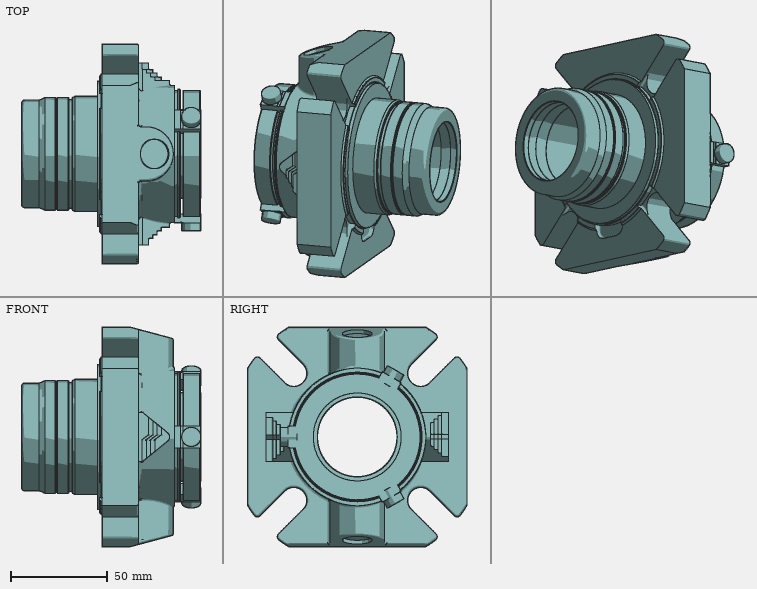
import cadquery as cq
import math


overall_length = 93.24
flange_side = 114.3

seal_disc_start = 39.4
gasket_ring_start = 40.6
flange_front = 41.85
flange_back = 60.85
body_end = 79.6
snap_ring_start = 81.0
snap_ring_end = 82.5
collar_start = 83.8
collar_end = 93.0

nose_diameter = 56.11
nose_step_start = 9.1
nose_step_diameter = 57.28
nose_ramp_start = 10.7
nose_land_start = 12.3
nose_land_diameter = 58.85
nose_groove_diameter = 56.77
nose_groove_starts = (17.85, 24.55)
nose_groove_ends = (18.4, 26.2)
nose_land_edge = 0.4
rear_barrel_diameter = 60.05
rear_barrel_chamfer = 1.6
nose_round = 1.7

seal_disc_radius = 37.8
gasket_radius = 40.65
gasket_inner_radius = 38.4
gasket_base_round = 0.9
gasket_gap_depth = 0.6

corner_circle_radius = 67.3
slot_width = 13.4
slot_hole_distance = 46.65
slot_corner_round = 2.0
flange_back_round = 1.0
slope_start = 56.3
slope_angle = 15.0
recess_depth = 2.0
recess_floor_round = 0.85
slot_recess_inner = 30.0
drain_width = 19.9
drain_bottom = 45.0
drain_corner = 5.0

body_front_radius = 35.25
body_back_radius = 35.7
body_base_round = 1.7
neck_radius = 33.0
snap_ring_radius = 33.7
snap_ring_chamfer = 0.4

collar_radius = 66.17 / 2
collar_edge = 0.4
sleeve_radius = 46.25 / 2
sleeve_end_radius = 45.72 / 2
bore_entry_diameter = 41.63
bore_entry_end = 3.4
bore_entry_chamfer = 0.3
bore_land_diameter = 41.27
bore_land_end = 8.6
bore_mid_diameter = 41.38
bore_mid_end = 16.0

lug_radius = 14.1
lug_center = 64.8
lug_base_flare = 1.3
lug_edge_round = 1.0
lug_inner_height = 24.0
lug_core_height = 46.0
lug_base_round = 1.2
port_diameter = 15.34
port_center = 69.2
port_depth = 2.0

rib_inner = 28.0
rib_step_heights = (38.2, 40.0, 42.1, 43.9, 47.4)
rib_step_ends = (78.0, 72.65, 70.5, 68.25, 66.05)
rib_step_shift = 3.4
rib_split_upper = 1.1
rib_split_lower = -1.4
rib_half_height = 12.75
rib_shoulder = 62.9
rib_side_angle = 39.0
rib_tip_round = 2.9
rib_base_round = 0.9
rib_step_round = 0.5

pick_margin = 0.1

clip_count = 3
clip_width = 11.35
clip_inner = 31.2
clip_outer = 35.9
clip_groove_depth = 0.3
screw_diameter = 10.0
screw_head_top = 40.0
screw_center = overall_length - screw_diameter / 2
screw_edge_round = 0.4


def ring(start, end, outer_radius):
    """Solid disc around the shaft axis between two stations."""
    return cq.Workplane("YZ").workplane(offset=start).circle(outer_radius).extrude(end - start)


def make_nose():
    land = nose_land_diameter / 2
    groove = nose_groove_diameter / 2
    barrel = rear_barrel_diameter / 2
    profile = (
        cq.Workplane("XY")
        .moveTo(0, 0)
        .lineTo(0, nose_diameter / 2 - nose_round)
        .radiusArc((nose_round, nose_diameter / 2), nose_round)
        .lineTo(nose_step_start, nose_diameter / 2)
        .lineTo(nose_ramp_start, nose_step_diameter / 2)
        .lineTo(nose_land_start, land)
    )
    for groove_start, groove_end in zip(nose_groove_starts, nose_groove_ends):
        profile = (
            profile.lineTo(groove_start - nose_land_edge, land)
            .lineTo(groove_start, land - nose_land_edge)
            .lineTo(groove_start, groove)
            .lineTo(groove_end, groove)
            .lineTo(groove_end, land - nose_land_edge)
            .lineTo(groove_end + nose_land_edge, land)
        )
    profile = (
        profile.lineTo(nose_groove_ends[-1] + rear_barrel_chamfer, barrel)
        .lineTo(flange_front, barrel)
        .lineTo(flange_front, 0)
        .close()
    )
    return profile.revolve(360, (0, 0, 0), (1, 0, 0))


def make_flange():
    thickness = flange_back - flange_front
    face = cq.Workplane("YZ").workplane(offset=flange_front)
    plate = face.rect(flange_side, flange_side).extrude(thickness)
    plate = plate.intersect(face.circle(corner_circle_radius).extrude(thickness))
    slot_end = corner_circle_radius + slot_width
    slot_length = slot_end - slot_hole_distance
    slot = (
        face.center(slot_hole_distance + slot_length / 2, 0)
        .rect(slot_length, slot_width)
        .extrude(thickness)
        .union(face.center(slot_hole_distance, 0).circle(slot_width / 2).extrude(thickness))
    )
    for quarter in range(4):
        plate = plate.cut(slot.rotate((0, 0, 0), (1, 0, 0), 45 + 90 * quarter))
    slot_mouth = math.sqrt(corner_circle_radius**2 - (slot_width / 2) ** 2)
    for quarter in range(4):
        angle = math.radians(45 + 90 * quarter)
        for side in (-slot_width / 2, slot_width / 2):
            mouth = (
                (flange_front + flange_back) / 2,
                slot_mouth * math.cos(angle) - side * math.sin(angle),
                slot_mouth * math.sin(angle) + side * math.cos(angle),
            )
            plate = plate.edges(cq.selectors.NearestToPointSelector(mouth)).fillet(slot_corner_round)
    for side in (1, -1):
        plate = plate.cut(slope_cutter(side))
    return plate.faces(">X").edges().fillet(flange_back_round)


def slope_cutter(side):
    """Everything beyond the sloping top (side = 1) or bottom (side = -1) plane."""
    run = overall_length - slope_start
    drop = run * math.tan(math.radians(slope_angle))
    height = flange_side / 2
    return (
        cq.Workplane("XZ")
        .polyline([
            (slope_start, side * height),
            (slope_start + run, side * (height - drop)),
            (slope_start + run, side * flange_side),
            (slope_start, side * flange_side),
        ])
        .close()
        .extrude(flange_side, both=True)
    )


def make_front_recesses():
    """Slot recesses and drain notch sunk into the flange front, with rounded floors."""
    drain_length = drain_bottom - slot_recess_inner
    recesses = (
        front_pocket(drain_length, drain_width)
        .edges("|X and >Y")
        .fillet(drain_corner)
        .faces(">X")
        .edges()
        .fillet(recess_floor_round)
        .rotate((0, 0, 0), (1, 0, 0), -90)
    )
    slot_recess = (
        front_pocket(slot_hole_distance - slot_recess_inner, slot_width)
        .faces(">X")
        .edges("|Y")
        .fillet(recess_floor_round)
    )
    for quarter in range(4):
        recesses = recesses.union(slot_recess.rotate((0, 0, 0), (1, 0, 0), 45 + 90 * quarter))
    return recesses


def front_pocket(length, width):
    """Block sunk into the flange front, running outward along +Y."""
    return (
        cq.Workplane("YZ")
        .workplane(offset=flange_front)
        .center(slot_recess_inner + length / 2, 0)
        .rect(length, width)
        .extrude(recess_depth)
    )


def make_gasket():
    """Seal disc inside a gasket ring that is broken by the corner slots and the drain notch."""
    round_start = flange_front - gasket_base_round
    gasket = (
        cq.Workplane("XY")
        .moveTo(gasket_ring_start, gasket_inner_radius)
        .lineTo(gasket_ring_start, gasket_radius)
        .lineTo(round_start, gasket_radius)
        .radiusArc((flange_front, gasket_radius + gasket_base_round), gasket_base_round)
        .lineTo(flange_front, gasket_inner_radius)
        .close()
        .revolve(360, (0, 0, 0), (1, 0, 0))
    )
    reach = flange_side / 2
    face = cq.Workplane("YZ").workplane(offset=gasket_ring_start)
    gap = face.center(reach / 2, 0).rect(reach, slot_width).extrude(recess_depth)
    for quarter in range(4):
        gasket = gasket.cut(gap.rotate((0, 0, 0), (1, 0, 0), 45 + 90 * quarter))
    gasket = gasket.cut(face.center(0, -reach / 2).rect(drain_width, reach).extrude(recess_depth))
    recess_floor = flange_front + recess_depth
    disc = ring(seal_disc_start, recess_floor, seal_disc_radius)
    shoulder = ring(gasket_ring_start + gasket_gap_depth, recess_floor, gasket_inner_radius)
    return gasket.union(disc).union(shoulder)


def make_body():
    """Flared body with its lugs and ribs blended in, then the neck and snap ring."""
    lug_end = lug_center + lug_radius + lug_base_round
    flare = (body_back_radius - body_front_radius) / (body_end - flange_back)
    cone_end = lug_end + lug_base_round
    profile = (
        cq.Workplane("XY")
        .moveTo(slope_start, 0)
        .lineTo(slope_start, body_front_radius - flare * (flange_back - slope_start))
        .lineTo(cone_end, body_front_radius + flare * (cone_end - flange_back))
        .lineTo(cone_end, 0)
        .close()
    )
    body = profile.revolve(360, (0, 0, 0), (1, 0, 0))
    for half_turn in (0, 180):
        body = body.union(make_lug_core().rotate((0, 0, 0), (1, 0, 0), half_turn))
        body = body.union(make_rib().rotate((0, 0, 0), (1, 0, 0), half_turn))
    for side in (1, -1):
        lug_foot = cq.selectors.BoxSelector(
            (slope_start, -lug_radius - pick_margin, side * lug_inner_height),
            (lug_end, lug_radius + pick_margin, side * body_back_radius),
        )
        body = body.edges(lug_foot).fillet(lug_base_round)
    for side in (1, -1):
        rib_foot = cq.selectors.BoxSelector(
            (slope_start, side * rib_inner, -rib_half_height - pick_margin),
            (rib_step_ends[0] + pick_margin, side * body_back_radius, rib_half_height + pick_margin),
        )
        body = body.edges(rib_foot).fillet(rib_base_round)
    body = body.intersect(ring(slope_start, body_end, flange_side))
    return body.union(make_base_round()).union(make_neck())


def make_base_round():
    """Concave round between the flange back and the body."""
    base_end = flange_back + body_base_round
    flare = (body_back_radius - body_front_radius) / (body_end - flange_back)
    base_radius = body_front_radius + flare * body_base_round
    profile = (
        cq.Workplane("XY")
        .moveTo(flange_back, rib_inner)
        .lineTo(flange_back, base_radius + body_base_round)
        .radiusArc((base_end, base_radius), -body_base_round)
        .lineTo(base_end, rib_inner)
        .close()
    )
    return profile.revolve(360, (0, 0, 0), (1, 0, 0))


def make_neck():
    neck = ring(body_end, snap_ring_start, neck_radius)
    snap_ring = ring(snap_ring_start, snap_ring_end, snap_ring_radius).edges().chamfer(snap_ring_chamfer)
    return neck.union(snap_ring)


def make_lug_core():
    """Plain round-ended lower part of the +Z lug, blended into the body."""
    return (
        cq.Workplane("XY")
        .workplane(offset=lug_inner_height)
        .moveTo(slope_start, -lug_radius)
        .lineTo(lug_center, -lug_radius)
        .threePointArc((lug_center + lug_radius, 0), (lug_center, lug_radius))
        .lineTo(slope_start, lug_radius)
        .close()
        .extrude(lug_core_height - lug_inner_height)
    )


def make_lug():
    """Round-ended lug on +Z whose top continues the sloping flange plane."""
    flare_end = flange_back + lug_base_flare
    flare_half = lug_radius + lug_base_flare
    lug_start = slope_start
    lug = (
        cq.Workplane("XY")
        .workplane(offset=lug_inner_height)
        .moveTo(lug_start, -flare_half)
        .lineTo(flange_back, -flare_half)
        .radiusArc((flare_end, -lug_radius), lug_base_flare)
        .lineTo(lug_center, -lug_radius)
        .threePointArc((lug_center + lug_radius, 0), (lug_center, lug_radius))
        .lineTo(flare_end, lug_radius)
        .radiusArc((flange_back, flare_half), lug_base_flare)
        .lineTo(lug_start, flare_half)
        .close()
        .extrude(flange_side / 2 - lug_inner_height)
        .cut(slope_cutter(1))
    )
    slope = math.radians(slope_angle)
    slope_normal = cq.Vector(math.sin(slope), 0, math.cos(slope))
    return lug.faces(cq.selectors.DirectionMinMaxSelector(slope_normal)).edges().fillet(lug_edge_round)


def make_port():
    """Blind port sunk square to the sloping lug top."""
    slope = math.radians(slope_angle)
    top = flange_side / 2 - (port_center - slope_start) * math.tan(slope)
    normal = (math.sin(slope), 0, math.cos(slope))
    plane = cq.Plane(origin=(port_center, 0, top), xDir=(0, 1, 0), normal=normal)
    return cq.Workplane(plane).circle(port_diameter / 2).extrude(-port_depth)


def make_rib():
    """Arrow-shaped rib on -Y, stepped outward in layers that jog at mid height."""
    tip = rib_shoulder + rib_half_height / math.tan(math.radians(rib_side_angle))
    outline = (
        cq.Workplane("XZ")
        .polyline([
            (slope_start, rib_half_height),
            (rib_shoulder, rib_half_height),
            (tip, 0),
            (rib_shoulder, -rib_half_height),
            (slope_start, -rib_half_height),
        ])
        .close()
        .extrude(rib_step_heights[-1])
        .edges("|Y and >X")
        .fillet(rib_tip_round)
    )
    layers = None
    for height, upper_end in zip(rib_step_heights, rib_step_ends):
        lower_end = upper_end - rib_step_shift
        if height == rib_step_heights[0]:
            lower_end = upper_end
        layer = (
            cq.Workplane("XZ")
            .workplane(offset=rib_inner)
            .polyline([
                (slope_start, rib_half_height),
                (upper_end, rib_half_height),
                (upper_end, rib_split_upper),
                (lower_end, rib_split_lower),
                (lower_end, -rib_half_height),
                (slope_start, -rib_half_height),
            ])
            .close()
            .extrude(height - rib_inner)
        )
        layers = layer if layers is None else layers.union(layer)
    for height, upper_end in zip(rib_step_heights[:-1], rib_step_ends[1:]):
        inner_corner = cq.selectors.BoxSelector(
            (upper_end - rib_step_shift - pick_margin, -height - pick_margin, -rib_half_height - pick_margin),
            (upper_end + pick_margin, -height + pick_margin, rib_half_height + pick_margin),
            boundingbox=True,
        )
        layers = layers.edges(inner_corner).fillet(rib_step_round)
    return outline.intersect(layers)


def make_collar():
    collar = ring(collar_start, collar_end, collar_radius).edges().chamfer(collar_edge)
    sleeve = ring(body_end, collar_end, sleeve_radius)
    sleeve_lip = ring(collar_end, overall_length, sleeve_end_radius)
    return collar.union(sleeve).union(sleeve_lip)


def make_clip():
    """Setting clip with its screw head, on -Y."""
    clip_length = collar_end - body_end
    clip = (
        cq.Workplane("XZ")
        .workplane(offset=clip_inner)
        .center(body_end + clip_length / 2, 0)
        .rect(clip_length, clip_width)
        .extrude(clip_outer - clip_inner)
    )
    groove_width = collar_start - snap_ring_end
    groove = (
        cq.Workplane("XZ")
        .workplane(offset=clip_outer - clip_groove_depth)
        .center(snap_ring_end + groove_width / 2, 0)
        .rect(groove_width, clip_width)
        .extrude(clip_groove_depth)
    )
    screw = (
        cq.Workplane("XZ")
        .workplane(offset=clip_inner)
        .center(screw_center, 0)
        .circle(screw_diameter / 2)
        .extrude(screw_head_top - clip_inner)
        .faces("<Y")
        .edges()
        .fillet(screw_edge_round)
    )
    return clip.cut(groove).union(screw)


def make_bore():
    entry_radius = bore_entry_diameter / 2
    entry_cone = cq.Solid.makeCone(
        entry_radius + bore_entry_chamfer,
        entry_radius,
        bore_entry_chamfer,
        dir=cq.Vector(1, 0, 0),
    )
    return (
        ring(0, overall_length, bore_land_diameter / 2)
        .union(cq.Workplane(entry_cone))
        .union(ring(0, bore_entry_end, bore_entry_diameter / 2))
        .union(ring(bore_land_end, bore_mid_end, bore_mid_diameter / 2))
        .union(ring(bore_mid_end, overall_length, bore_entry_diameter / 2))
    )


part = make_flange().cut(make_front_recesses())
part = part.union(make_gasket()).union(make_nose()).union(make_body()).union(make_collar())

for half_turn in (0, 180):
    part = part.union(make_lug().rotate((0, 0, 0), (1, 0, 0), half_turn))
    part = part.cut(make_port().rotate((0, 0, 0), (1, 0, 0), half_turn))

for clip_index in range(clip_count):
    turn = 360 / clip_count * clip_index
    part = part.union(make_clip().rotate((0, 0, 0), (1, 0, 0), turn))

result = part.cut(make_bore())